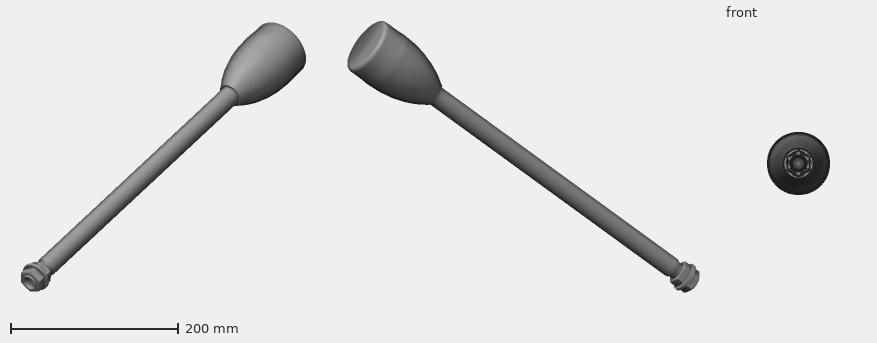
import cadquery as cq
import math

overall_length = 519.85

cap_radius = 36.2
cap_length = 16.4
rim_radius = 5.0

head_radius = 36.78
head_length = 108.4
head_base_radius = 15.2
head_base_lip = 0.6
taper_length = 14.1
band_length = 4.5
bevel_length = 1.6
bevel_depth = 0.2

tube_radius = 12.3
shoulder_radius = 11.7
shoulder_start = 33.7
shoulder_length = 4.7
neck_start = 27.8
neck_radius = 11.2
thread_radius = 9.9
bore_radius = 7.4
bore_chamfer = 1.2
bore_depth = 30.0

nut_across_flats = 27.0
nut_thickness = 10.2
nut_face_radius = 13.0
nut_chamfer_angle = 15.0
washer_radius = 18.0
washer_thickness = 3.5
thread_overhang = 2.4

cap_start = overall_length - cap_length
head_start = overall_length - head_length
washer_start = thread_overhang + nut_thickness
nut_starts = (thread_overhang, washer_start + washer_thickness)


def turn(profile):
    """Revolve a closed half profile, drawn with Y along the axis and Z as radius, about the Y axis."""
    return profile.close().revolve(360, (0, 0, 0), (1, 0, 0))


def tangent_arc_middle(start_y, start_radius, end_y, end_radius):
    """Middle point of the arc that leaves a cylinder tangentially at its start point."""
    length = end_y - start_y
    rise = end_radius - start_radius
    chord_angle = math.atan2(abs(rise), abs(length))
    arc_radius = math.hypot(length, rise) / (2 * math.sin(chord_angle))
    middle_length = math.copysign(arc_radius * math.sin(chord_angle), length)
    middle_rise = math.copysign(arc_radius * (1 - math.cos(chord_angle)), rise)
    return (start_y + middle_length, start_radius + middle_rise)


def disc(radius, start, length):
    """Cylinder that runs in +Y from the given Y."""
    end = start + length
    return turn(cq.Workplane("YZ").moveTo(start, 0).lineTo(start, radius).lineTo(end, radius).lineTo(end, 0))


def make_cap():
    """Plain round cap whose outer rim curves in toward a flat end face."""
    rim_start = overall_length - rim_radius
    end_face_radius = cap_radius - rim_radius
    rim_mid = tangent_arc_middle(rim_start, cap_radius, overall_length, end_face_radius)
    return turn(
        cq.Workplane("YZ")
        .moveTo(cap_start, 0)
        .lineTo(cap_start, cap_radius)
        .lineTo(rim_start, cap_radius)
        .threePointArc(rim_mid, (overall_length, end_face_radius))
        .lineTo(overall_length, 0)
    )


def make_head():
    """Bowl that widens from the tube to a narrow bevelled band, then tapers slightly up to the cap."""
    taper_start = cap_start - taper_length
    band_start = taper_start - band_length
    bowl_end = band_start - bevel_length
    bowl_start = head_start + head_base_lip
    bowl_radius = head_radius - bevel_depth
    bowl_mid = tangent_arc_middle(bowl_end, bowl_radius, bowl_start, head_base_radius)
    return turn(
        cq.Workplane("YZ")
        .moveTo(head_start, 0)
        .lineTo(head_start, head_base_radius)
        .lineTo(bowl_start, head_base_radius)
        .threePointArc(bowl_mid, (bowl_end, bowl_radius))
        .lineTo(band_start, head_radius)
        .lineTo(taper_start, head_radius)
        .lineTo(cap_start, cap_radius)
        .lineTo(cap_start, 0)
    )


def make_tube():
    """Tube with a rounded shoulder and a concave neck down to the thread."""
    shoulder_end = shoulder_start + shoulder_length
    shoulder_mid = tangent_arc_middle(shoulder_end, tube_radius, shoulder_start, shoulder_radius)
    neck_mid = tangent_arc_middle(neck_start, thread_radius, shoulder_start, neck_radius)
    return turn(
        cq.Workplane("YZ")
        .lineTo(0, thread_radius)
        .lineTo(neck_start, thread_radius)
        .threePointArc(neck_mid, (shoulder_start, neck_radius))
        .lineTo(shoulder_start, shoulder_radius)
        .threePointArc(shoulder_mid, (shoulder_end, tube_radius))
        .lineTo(head_start, tube_radius)
        .lineTo(head_start, 0)
    )


def make_nut(start):
    """Hexagon with corners at +Z and -Z, its corners chamfered to a circle at each end."""
    end = start + nut_thickness
    corner_radius = nut_across_flats / 2 / math.cos(math.radians(30))
    chamfer_length = (corner_radius - nut_face_radius) * math.tan(math.radians(nut_chamfer_angle))
    hexagon = (
        cq.Workplane("XZ", origin=(0, start, 0))
        .transformed(rotate=(0, 0, 90))
        .polygon(6, 2 * corner_radius)
        .extrude(-nut_thickness)
    )
    chamfered_round = turn(
        cq.Workplane("YZ")
        .moveTo(start, 0)
        .lineTo(start, nut_face_radius)
        .lineTo(start + chamfer_length, corner_radius)
        .lineTo(end - chamfer_length, corner_radius)
        .lineTo(end, nut_face_radius)
        .lineTo(end, 0)
    )
    return hexagon.intersect(chamfered_round)


def make_bore():
    """Blind round bore with a chamfered mouth, as a cutting solid."""
    return turn(
        cq.Workplane("YZ")
        .lineTo(0, bore_radius + bore_chamfer)
        .lineTo(bore_chamfer, bore_radius)
        .lineTo(bore_depth, bore_radius)
        .lineTo(bore_depth, 0)
    )


def make_lamp_body():
    """Head, tube, nuts and washer as one solid with a blind bore in the free end."""
    body = make_head().union(make_tube())
    body = body.union(disc(washer_radius, washer_start, washer_thickness))
    for start in nut_starts:
        body = body.union(make_nut(start))
    return body.cut(make_bore())


cap = make_cap()
lamp_body = make_lamp_body()
result = cq.Compound.makeCompound([cap.val(), lamp_body.val()])